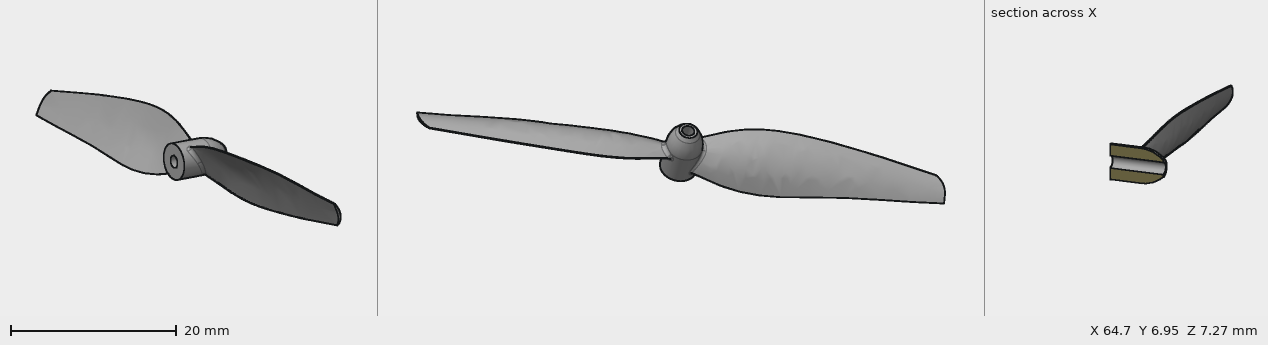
import cadquery as cq
import math


hub_radius = 4.5 / 2
bore_radius = 1.5 / 2
hub_length = 6.95
straight_length = 4.15
shoulder_y = 6.45
shoulder_radius = 1.5
nose_radius = 1.12
root_fillet = 0.45
root_zone_start = 1.0
root_zone_margin = 0.1

tip_radius = 64.65 / 2
edge_thickness = 0.14
crest_position = 0.31
tip_cut_start = 31.1
tip_cut_start_z = 0.75
tip_cut_end_z = -1.6
tip_cut_bulge = 0.3

root_thickness = 1.2
last_thickness = 0.3

first_section = 1.0
section_spacing = 4.7
blade_sections = [
    (3.40, 1.68, 1.53, -1.82, 0.24),
    (4.25, 2.97, 0.85, -3.13, 0.76),
    (4.61, 3.52, 0.65, -3.59, 0.92),
    (4.55, 3.25, 1.06, -3.50, 0.72),
    (4.20, 2.68, 1.53, -3.24, 0.48),
    (3.72, 1.95, 1.60, -2.93, 0.33),
    (3.18, 1.12, 1.57, -2.61, 0.23),
    (2.60, 0.27, 1.57, -2.31, 0.16),
]


def make_hub():
    nose_rise = shoulder_y - straight_length
    nose_drop = hub_radius - shoulder_radius
    arc_radius = (nose_rise**2 + nose_drop**2) / (2 * nose_drop)
    half_angle = math.asin(nose_rise / arc_radius) / 2
    arc_middle = (
        hub_radius - arc_radius * (1 - math.cos(half_angle)),
        straight_length + arc_radius * math.sin(half_angle),
    )
    return (
        cq.Workplane("XY")
        .lineTo(hub_radius, 0)
        .lineTo(hub_radius, straight_length)
        .threePointArc(arc_middle, (shoulder_radius, shoulder_y))
        .lineTo(nose_radius, hub_length)
        .lineTo(0, hub_length)
        .close()
        .revolve(360, (0, 0, 0), (0, 1, 0))
    )


def section_wire(distance, thickness, lead_y, lead_z, trail_y, trail_z, camber):
    """Closed airfoil outline: a crested back and an arched front joined by blunt edges."""
    lead = cq.Vector(-distance, lead_y, lead_z)
    trail = cq.Vector(-distance, trail_y, trail_z)
    chord = (lead - trail).normalized()
    normal = cq.Vector(0, chord.z, -chord.y)
    front_middle = (lead + trail) * 0.5 + normal * (camber - thickness / 2)
    crest = lead * (1 - crest_position) + trail * crest_position + normal * (camber + thickness / 2)
    half_edge = normal * (edge_thickness / 2)
    return cq.Wire.assembleEdges([
        cq.Edge.makeSpline([lead + half_edge, crest, trail + half_edge]),
        cq.Edge.makeLine(trail + half_edge, trail - half_edge),
        cq.Edge.makeThreePointArc(trail - half_edge, front_middle, lead - half_edge),
        cq.Edge.makeLine(lead - half_edge, lead + half_edge),
    ])


def make_tip_cutter():
    """Block that removes the leading corner of the tip along a shallow arc."""
    margin = 1.0
    run = tip_radius - tip_cut_start
    rise = tip_cut_start_z - tip_cut_end_z
    length = math.hypot(run, rise)
    arc_middle = (
        -(tip_cut_start + run / 2 + tip_cut_bulge * rise / length),
        (tip_cut_start_z + tip_cut_end_z) / 2 + tip_cut_bulge * run / length,
    )
    return (
        cq.Workplane("XZ")
        .moveTo(-tip_radius, tip_cut_end_z)
        .threePointArc(arc_middle, (-tip_cut_start, tip_cut_start_z))
        .lineTo(-tip_cut_start, tip_cut_start_z + margin)
        .lineTo(-tip_radius - margin, tip_cut_start_z + margin)
        .lineTo(-tip_radius - margin, tip_cut_end_z)
        .close()
        .extrude(-hub_length)
    )


def make_blade():
    last_section = first_section + section_spacing * (len(blade_sections) - 1)
    wires = []
    for index, section in enumerate(blade_sections):
        distance = first_section + section_spacing * index
        thickness = root_thickness + (last_thickness - root_thickness) * distance / last_section
        wires.append(section_wire(distance, thickness, *section))
    blade = cq.Workplane(cq.Solid.makeLoft(wires))
    trim_size = 4 * hub_length
    tip_box = cq.Workplane("XY").box(2 * tip_radius, trim_size, trim_size)
    return blade.intersect(tip_box).cut(make_tip_cutter())


def make_propeller():
    blade = make_blade()
    propeller = make_hub()
    for turn in (0, 180):
        propeller = propeller.union(blade.rotate((0, 0, 0), (0, 1, 0), turn))
    reach = hub_radius + root_zone_margin
    root_zone = cq.selectors.BoxSelector(
        (-reach, root_zone_start, -reach),
        (reach, straight_length, reach),
        boundingbox=True,
    )
    propeller = propeller.edges(root_zone).fillet(root_fillet)
    bore = cq.Workplane("XZ").circle(bore_radius).extrude(-hub_length)
    return propeller.cut(bore)


result = make_propeller()